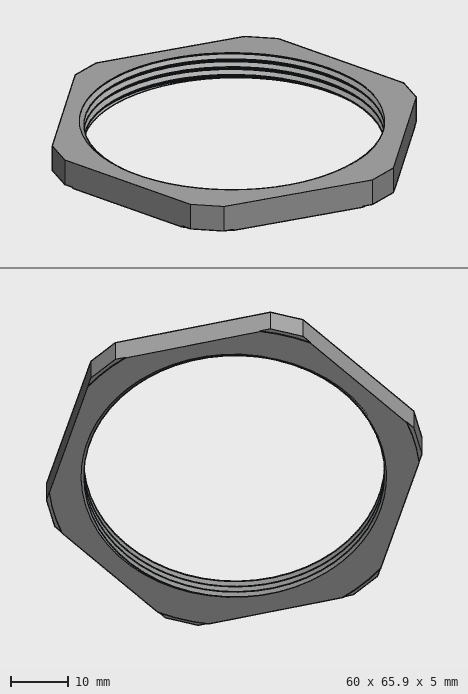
import cadquery as cq
import math

height = 5.0
width_across_flats = 60.0
width_across_corners = 65.9
bottom_step_radius = 32.35
bottom_step_height = 0.2

bore_radius = 26.19
bore_seam_angle = 150.0
thread_depth = 0.8
thread_pitch = 1.5
root_flat = 0.2
mouth_width = 1.3
bore_overlap = 0.05
extra_turns = 0.6
start_angle = 120.0


def hexagon(circle_diameter, turn):
    """Hexagonal prism; polygon corners start on +X before turning."""
    prism = cq.Workplane("XY").polygon(6, circle_diameter).extrude(height)
    return prism.rotate((0, 0, 0), (0, 0, 1), turn)


def nut_blank():
    """Hexagon with flat-cut corners and a shallow round step underneath."""
    corner_factor = 1 / math.cos(math.radians(30))
    flats = hexagon(width_across_flats * corner_factor, 30)
    corner_cuts = hexagon(width_across_corners * corner_factor, 0)
    body = flats.intersect(corner_cuts)
    step_ring = (
        cq.Workplane("XY")
        .circle(width_across_corners)
        .circle(bottom_step_radius)
        .extrude(bottom_step_height)
    )
    return body.cut(step_ring)


def thread_cutter():
    """Helical trapezoid that cuts the right-hand internal thread."""
    length = height + 2 * extra_turns * thread_pitch
    path = cq.Wire.makeHelix(thread_pitch, length, bore_radius)
    flank_slope = (mouth_width - root_flat) / 2 / thread_depth
    inner_half = mouth_width / 2 + flank_slope * bore_overlap
    inner_radius = bore_radius - bore_overlap
    root_radius = bore_radius + thread_depth
    cutter = (
        cq.Workplane("XZ")
        .moveTo(inner_radius, -inner_half)
        .lineTo(root_radius, -root_flat / 2)
        .lineTo(root_radius, root_flat / 2)
        .lineTo(inner_radius, inner_half)
        .close()
        .sweep(cq.Workplane(path), isFrenet=True)
    )
    cutter = cutter.rotate((0, 0, 0), (0, 0, 1), start_angle - 360 * extra_turns)
    return cutter.translate((0, 0, -extra_turns * thread_pitch))


bore = cq.Workplane("XY").circle(bore_radius).extrude(height)
bore = bore.rotate((0, 0, 0), (0, 0, 1), bore_seam_angle)
result = nut_blank().cut(bore).cut(thread_cutter())